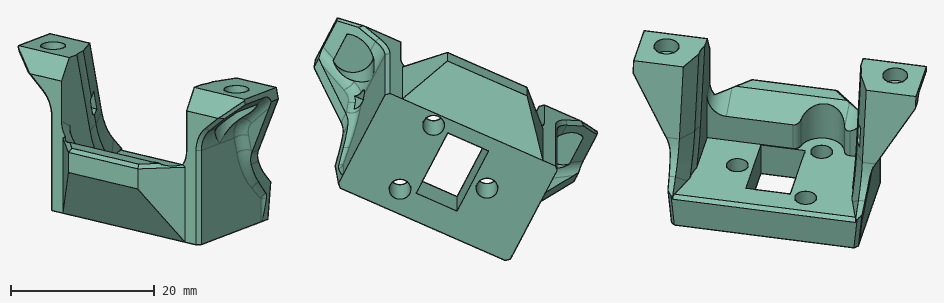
import cadquery as cq
import math

HALF_WIDTH = 20.05
HEIGHT = 22.25
BACK_Y = 16.0
LIP_FRONT_Y = -4.7
MARGIN = 4.0
NEAR = 0.05

INNER_X = 11.08
WALL_X = 13.3
FRAME_BEND = (14.25, 10.48)
FRAME_TIP_Z = 20.45
FRAME_BEND_RADIUS = 4.8
ARM_TOP_FRONT_Y = 1.73
ARM_BEVEL_Z = 19.23
EDGE_CHAMFER = 0.52

BACK_TOP_Y = 8.8
BACK_LEAN = 0.25
BACK_LEDGE_Z = 5.0
BACK_BEND_RADIUS = 10.05

FLANGE_THICKNESS = 1.5
FLANGE_LOWER_THICKNESS = 1.2
POCKET_FILLET = 1.45
POCKET_TOE_RADIUS = 1.6
POCKET_BACK_Y = 15.35
SHELF_TIP_Z = 21.45
SHELF_SLOPE = 0.85
SHELF_RADIUS = 4.17

RELIEF_X = 13.0
RELIEF_SLOPE = 0.46
RELIEF_RADIUS = 4.6
RELIEF_OVERCUT = 1.2

FLOOR_Z = BACK_LEDGE_Z
LIP_TOP_Z = 11.5
LIP_HALF_BASE = 10.85
LIP_FACE_BOTTOM_Z = 8.03
LIP_CREST_Y = -2.2
LIP_BACK_Y = 1.85
LIP_BACK_Z = 9.15
LIP_CORNER_RADIUS = 2.73

SLOT_CENTER = (8.1, 13.75)
SLOT_LENGTH = 2.8
SLOT_WIDTH = 1.8
SLOT_CORNER_RADIUS = 0.5

ARM_HOLE = (16.25, 4.65)
ARM_HOLE_RADIUS = 1.73
RECESS_RADIUS = ARM_HOLE[0] - WALL_X
RECESS_SEAT_Z = 19.85
RECESS_DEPTH = 8.03
BRIDGE_THICKNESS = 0.2
FLOOR_HOLE_DIAMETER = 3.0
SCALLOP_HOLE = (-5.18, 1.75)
FLOOR_HOLES = [SCALLOP_HOLE, (-5.18, 12.55), (5.65, 7.2)]
SCALLOP_RADIUS = 3.17
SCALLOP_FILLET = 1.0
WINDOW_X = (-2.9, 3.4)
WINDOW_Y = (1.95, 12.12)


def box(x_range, y_range, z_range):
    size = [high - low for low, high in (x_range, y_range, z_range)]
    corner = (x_range[0], y_range[0], z_range[0])
    return cq.Workplane("XY").box(*size, centered=False).translate(corner)


def parallel_edge(solid, direction, point):
    """The edge along the given axis whose middle is nearest to the point."""
    return solid.edges("|" + direction).edges(cq.selectors.NearestToPointSelector(point))


def both_sides(left):
    """The left-hand shape together with its mirror image."""
    return left.union(left.mirror("YZ"))


def extrude_along_x(outline, x_start, x_end):
    return outline.extrude(x_end - x_start).translate((x_start, 0, 0))


def back_y(z, inset=0.0):
    """Y of the leaning back face at height z, moved forward by a perpendicular inset."""
    return BACK_TOP_Y + BACK_LEAN * (HEIGHT - z) - inset * math.hypot(1, BACK_LEAN)


def back_bend(inset=0.0, lower_inset=0.0):
    """Start, middle and end of the arc joining the leaning face to the 45 degree face below it."""
    diagonal_sum = BACK_Y + BACK_LEDGE_Z - lower_inset * math.sqrt(2)
    z = (diagonal_sum - back_y(0, inset)) / (1 - BACK_LEAN)
    y = diagonal_sum - z

    lean = math.atan(BACK_LEAN)
    diagonal = math.radians(45)
    radius = BACK_BEND_RADIUS + inset
    half_turn = (diagonal - lean) / 2
    reach = radius * math.tan(half_turn)
    offset = radius / math.cos(half_turn) - radius
    middle_angle = lean + half_turn
    start = (y - reach * math.sin(lean), z + reach * math.cos(lean))
    middle = (y + offset * math.cos(middle_angle), z + offset * math.sin(middle_angle))
    end = (y + reach * math.sin(diagonal), z - reach * math.cos(diagonal))
    return start, middle, end


def make_body():
    """Solid block with the flared outline seen along Y and the back profile seen along X."""
    bend_x, bend_z = FRAME_BEND
    flare = (
        cq.Workplane("XZ")
        .polyline([(0, 0), (-WALL_X, 0), (-bend_x, bend_z), (-HALF_WIDTH, FRAME_TIP_Z),
                   (-HALF_WIDTH, HEIGHT), (0, HEIGHT)])
        .close()
        .extrude(-BACK_Y)
    )
    flare = parallel_edge(flare, "Y", (-bend_x, BACK_Y / 2, bend_z)).fillet(FRAME_BEND_RADIUS)
    wall_back_edge = cq.selectors.NearestToPointSelector((-(WALL_X + bend_x) / 2, BACK_Y, bend_z / 2))
    flare = flare.edges(wall_back_edge).chamfer(EDGE_CHAMFER)

    start, middle, end = back_bend()
    side_outline = (
        cq.Workplane("YZ")
        .moveTo(0, 0)
        .lineTo(BACK_Y, 0)
        .lineTo(BACK_Y, BACK_LEDGE_Z)
        .lineTo(*end)
        .threePointArc(middle, start)
        .lineTo(BACK_TOP_Y, HEIGHT)
        .lineTo(ARM_TOP_FRONT_Y, HEIGHT)
        .lineTo(0, ARM_BEVEL_Z)
        .close()
    )
    return both_sides(flare.intersect(extrude_along_x(side_outline, -HALF_WIDTH, 0)))


def make_pocket():
    """Space outside the left wall, below the sloping arm and in front of the flange."""
    far_x = -HALF_WIDTH - MARGIN
    shelf_corner_z = SHELF_TIP_Z - SHELF_SLOPE * (HALF_WIDTH - WALL_X)
    shelf_end_z = SHELF_TIP_Z + SHELF_SLOPE * MARGIN
    outside = (
        cq.Workplane("XZ", origin=(0, -MARGIN, 0))
        .polyline([(-WALL_X, -MARGIN), (-WALL_X, shelf_corner_z), (far_x, shelf_end_z), (far_x, -MARGIN)])
        .close()
        .extrude(-BACK_Y - MARGIN)
    )
    outside = parallel_edge(outside, "Y", (-WALL_X, BACK_Y / 2, shelf_corner_z)).fillet(SHELF_RADIUS)

    inset = FLANGE_THICKNESS
    start, middle, end = back_bend(inset, FLANGE_LOWER_THICKNESS)
    top_z = HEIGHT + MARGIN
    toe_z = end[0] + end[1] - POCKET_BACK_Y
    ahead_of_flange = (
        cq.Workplane("YZ")
        .moveTo(-MARGIN, -MARGIN)
        .lineTo(POCKET_BACK_Y, -MARGIN)
        .lineTo(POCKET_BACK_Y, toe_z)
        .lineTo(*end)
        .threePointArc(middle, start)
        .lineTo(back_y(top_z, inset), top_z)
        .lineTo(-MARGIN, top_z)
        .close()
    )
    ahead_of_flange = extrude_along_x(ahead_of_flange, far_x, 0)
    toe_middle = (far_x / 2, POCKET_BACK_Y, toe_z)
    ahead_of_flange = parallel_edge(ahead_of_flange, "X", toe_middle).fillet(POCKET_TOE_RADIUS)

    pocket = outside.intersect(ahead_of_flange)
    return parallel_edge(pocket, "Z", (-WALL_X, POCKET_BACK_Y, 0)).fillet(POCKET_FILLET)


def make_head_recess():
    """Recess for a fastener head below the left arm hole."""
    x, y = ARM_HOLE
    return cq.Workplane("XY", origin=(-x, y, RECESS_SEAT_Z)).circle(RECESS_RADIUS).extrude(-RECESS_DEPTH)


def make_relief():
    """Cut that follows the back profile and thins the left arm towards its back edge."""
    start, middle, end = back_bend()
    top_z = HEIGHT + MARGIN
    top_y = back_y(top_z)
    path = (
        cq.Workplane("YZ")
        .moveTo(top_y, top_z)
        .lineTo(*start)
        .threePointArc(middle, end)
        .lineTo(end[0] + 2 * MARGIN, end[1] - 2 * MARGIN)
    )
    depth_at_inner = (RELIEF_X - INNER_X) / RELIEF_SLOPE
    half_turn = math.atan(RELIEF_SLOPE) / 2
    reach = RELIEF_RADIUS * math.tan(half_turn)
    turn = 2 * half_turn
    arc_start = (-INNER_X - reach * math.sin(turn), depth_at_inner - reach * math.cos(turn))
    arc_end = (-INNER_X, depth_at_inner + reach)
    section_plane = cq.Plane(origin=(0, top_y, top_z), xDir=(1, 0, 0), normal=(0, BACK_LEAN, -1))
    relief = (
        cq.Workplane(section_plane)
        .moveTo(-RELIEF_X, -RELIEF_OVERCUT)
        .lineTo(-RELIEF_X, 0)
        .lineTo(*arc_start)
        .radiusArc(arc_end, RELIEF_RADIUS)
        .lineTo(0, arc_end[1])
        .lineTo(0, -RELIEF_OVERCUT)
        .close()
        .sweep(path)
    )
    above_floor = box((-HALF_WIDTH, 0), (-MARGIN, BACK_Y + MARGIN), (FLOOR_Z, HEIGHT + 2 * MARGIN))
    return relief.intersect(above_floor)


def make_slot():
    """Leaning slot through the left wall just in front of the flange."""
    lean_angle = math.degrees(math.atan(BACK_LEAN))
    slot = box((-HALF_WIDTH, 0), (-SLOT_WIDTH / 2, SLOT_WIDTH / 2), (-SLOT_LENGTH / 2, SLOT_LENGTH / 2))
    slot = slot.edges("|X and <Y").fillet(SLOT_CORNER_RADIUS)
    return slot.rotate((0, 0, 0), (1, 0, 0), lean_angle).translate((0, *SLOT_CENTER))


def make_lip():
    """Front lip with 45 degree sides, an undercut front and a chamfered top edge."""
    nose_half = LIP_HALF_BASE + LIP_FRONT_Y
    lip = (
        cq.Workplane("XY")
        .polyline([(-LIP_HALF_BASE, LIP_BACK_Y), (-LIP_HALF_BASE, 0), (-nose_half, LIP_FRONT_Y),
                   (nose_half, LIP_FRONT_Y), (LIP_HALF_BASE, 0), (LIP_HALF_BASE, LIP_BACK_Y)])
        .close()
        .extrude(LIP_TOP_Z)
    )
    lip = lip.faces(">Z").edges("not(|X and >Y)").edges("not |Y").chamfer(EDGE_CHAMFER)
    undercut = (
        cq.Workplane("YZ")
        .polyline([(0, 0), (LIP_FRONT_Y, LIP_FACE_BOTTOM_Z), (LIP_FRONT_Y - MARGIN, 0)])
        .close()
    )
    return lip.cut(extrude_along_x(undercut, -HALF_WIDTH, HALF_WIDTH))


def make_channel():
    """Open space between the arms: flat floor, and a rounded trough sloping up to the lip crest."""
    room = box((-INNER_X, INNER_X), (LIP_BACK_Y, BACK_Y + MARGIN), (FLOOR_Z, HEIGHT + MARGIN))
    x, y = SCALLOP_HOLE
    room_height = HEIGHT + MARGIN - FLOOR_Z
    scallop = cq.Workplane("XY", origin=(x, y, FLOOR_Z)).circle(SCALLOP_RADIUS).extrude(room_height)
    room = room.union(scallop)
    half_chord = math.sqrt(SCALLOP_RADIUS ** 2 - (y - LIP_BACK_Y) ** 2)
    for corner_x in (x - half_chord, x + half_chord):
        room = parallel_edge(room, "Z", (corner_x, LIP_BACK_Y, HEIGHT / 2)).fillet(SCALLOP_FILLET)

    run = LIP_BACK_Y - LIP_CREST_Y
    rise = LIP_TOP_Z - LIP_BACK_Z
    slope_plane = cq.Plane(origin=(0, LIP_BACK_Y, LIP_BACK_Z), xDir=(1, 0, 0), normal=(0, run, -rise))
    depth = 2 * HEIGHT
    trough = (
        cq.Workplane(slope_plane)
        .center(0, -depth / 2)
        .rect(2 * INNER_X, depth)
        .extrude(-2 * run)
    )
    trough_corners = cq.selectors.ParallelDirSelector(cq.Vector(0, run, -rise))
    trough = trough.edges(trough_corners).fillet(LIP_CORNER_RADIUS)
    return room.union(trough)


def make_floor_holes():
    """Rectangular window and round holes, all through the floor."""
    window = box(WINDOW_X, WINDOW_Y, (-MARGIN, HEIGHT))
    rounds = cq.Workplane("XY").pushPoints(FLOOR_HOLES).circle(FLOOR_HOLE_DIAMETER / 2).extrude(HEIGHT)
    return window.union(rounds)


def make_arm_hole():
    """Blind hole in the top of the left arm, ending just above the recess."""
    x, y = ARM_HOLE
    bottom_z = RECESS_SEAT_Z + BRIDGE_THICKNESS
    return cq.Workplane("XY", origin=(-x, y, bottom_z)).circle(ARM_HOLE_RADIUS).extrude(HEIGHT)


def chamfer_outer_front_edges(body):
    """Chamfer the front outer edge of both walls, from the base up to the tips of the arms."""
    for side in (-1, 1):
        near_corner = (side * (WALL_X - NEAR), -NEAR, NEAR)
        far_corner = (side * (HALF_WIDTH + NEAR), ARM_TOP_FRONT_Y, SHELF_TIP_Z)
        body = body.edges(cq.selectors.BoxSelector(near_corner, far_corner)).chamfer(EDGE_CHAMFER)
    return body


def make_floor_back_chamfer():
    """Chamfer along the back edge of the floor, between the two flanges."""
    wedge = (
        cq.Workplane("YZ")
        .polyline([(BACK_Y, FLOOR_Z), (BACK_Y - EDGE_CHAMFER, FLOOR_Z), (BACK_Y, FLOOR_Z - EDGE_CHAMFER)])
        .close()
    )
    return extrude_along_x(wedge, -RELIEF_X, RELIEF_X)


body = make_body().cut(both_sides(make_pocket()))
body = chamfer_outer_front_edges(body)
body = body.union(make_lip()).cut(make_channel())
for paired_cut in (make_relief(), make_head_recess(), make_arm_hole()):
    body = body.cut(both_sides(paired_cut))
for single_cut in (make_slot(), make_floor_holes(), make_floor_back_chamfer()):
    body = body.cut(single_cut)
result = body.solids()